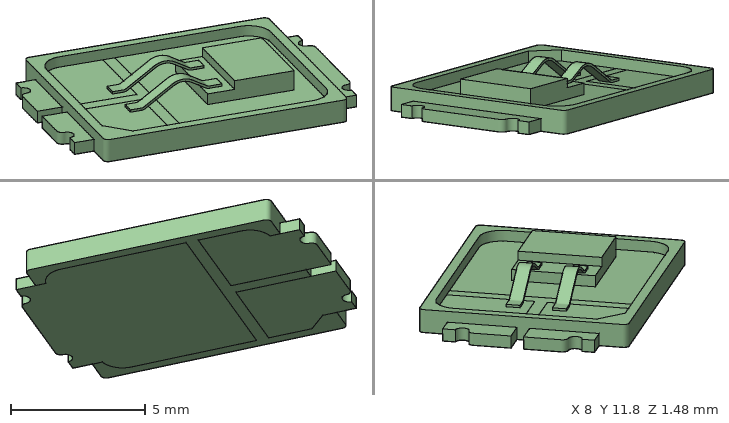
import cadquery as cq
import math

housing_width = 8.0
housing_length = 9.79
housing_height = 0.91
housing_corner_radius = 0.2

wall_thickness = 0.39
pocket_width = housing_width - 2 * wall_thickness
pocket_length = housing_length - 2 * wall_thickness
pocket_corner = 0.88

lead_thickness = 0.48
lead_gap = 0.48
die_pad_front_y = -1.4
terminal_back_y = die_pad_front_y - lead_gap

overall_length = 11.8
tab_half_width = 2.9
tab_tip_y = overall_length / 2
tab_corner_radius = 0.22
tab_shoulder_y = tab_tip_y - tab_corner_radius
notch_x = 2.16
notch_radius = 0.26
tab_root_y = pocket_length / 2 - pocket_corner

chip_width = 3.2
chip_back_y = 3.69
chip_step_y = 1.3
chip_front_y = 0.21
chip_top_z = 1.27
chip_step_z = 0.92

ribbon_x = 0.88
ribbon_width = 0.53
ribbon_thickness = 0.1
ribbon_chip_end_y = 0.97
ribbon_lead_end_y = -2.71
ribbon_top_z = 1.48
crest_y = -0.6
crest_radius = 0.79
chip_slope = math.radians(30)
lead_slope = math.radians(33)
bend_radius = 0.2


def pocket_prism(bottom_z, top_z):
    """Pocket outline: three round corners and one chamfered corner at +X, -Y."""
    prism = (
        cq.Workplane("XY")
        .workplane(offset=bottom_z)
        .rect(pocket_width, pocket_length)
        .extrude(top_z - bottom_z)
    )
    prism = prism.edges("|Z and (<X or >Y)").fillet(pocket_corner)
    chamfered_corner = cq.selectors.NearestToPointSelector(
        (pocket_width / 2, -pocket_length / 2, (bottom_z + top_z) / 2)
    )
    return prism.edges(chamfered_corner).chamfer(pocket_corner)


def half_tab(inner_x):
    """Tab on the +X, +Y side: a notch that flows into the rounded corner of the tip."""
    tip_x = notch_x - notch_radius
    arc_inset = tab_corner_radius * (1 - math.sqrt(0.5))
    return (
        cq.Workplane("XY")
        .moveTo(inner_x, tab_root_y)
        .lineTo(tab_half_width, tab_root_y)
        .lineTo(tab_half_width, tab_shoulder_y)
        .lineTo(notch_x + notch_radius, tab_shoulder_y)
        .threePointArc((notch_x, tab_shoulder_y - notch_radius), (tip_x, tab_shoulder_y))
        .threePointArc(
            (tip_x - arc_inset, tab_tip_y - arc_inset),
            (tip_x - tab_corner_radius, tab_tip_y),
        )
        .lineTo(inner_x, tab_tip_y)
        .close()
        .extrude(lead_thickness)
    )


def floor_area(min_x, max_x, min_y, max_y):
    """Part of the pocket floor between the given limits, as thick as the leads."""
    area = cq.Workplane("XY").box(
        max_x - min_x, max_y - min_y, lead_thickness, centered=False
    )
    return area.translate((min_x, min_y, 0)).intersect(pocket_prism(0, lead_thickness))


def make_die_pad_lead():
    pad = floor_area(-pocket_width / 2, pocket_width / 2, die_pad_front_y, pocket_length / 2)
    right_tab = half_tab(0)
    return pad.union(right_tab).union(right_tab.mirror("YZ")).clean()


def make_ribbon(center_x):
    """Flat strip bent up from the terminal, over a round crest and down to the chip step."""
    lead_foot_z = lead_thickness + ribbon_thickness
    chip_foot_z = chip_step_z + ribbon_thickness
    crest_center_z = ribbon_top_z - crest_radius

    def slope_offset(foot_z, slope):
        """Distance in Y from the crest centre to where a slope meets its foot."""
        return (crest_radius - (foot_z - crest_center_z) * math.cos(slope)) / math.sin(slope)

    def below(corner, slope_before, slope_after):
        """Mitred corner of the underside, one thickness below a corner of the upper side."""
        middle = (slope_before + slope_after) / 2
        miter = ribbon_thickness / math.cos((slope_after - slope_before) / 2)
        return (corner[0] + miter * math.sin(middle), corner[1] - miter * math.cos(middle))

    lead_bend = (crest_y - slope_offset(lead_foot_z, lead_slope), lead_foot_z)
    chip_bend = (crest_y + slope_offset(chip_foot_z, chip_slope), chip_foot_z)
    crest_tilt = (lead_slope - chip_slope) / 2
    crest_reach = crest_radius / math.cos((lead_slope + chip_slope) / 2)
    crest = (
        crest_y - crest_reach * math.sin(crest_tilt),
        crest_center_z + crest_reach * math.cos(crest_tilt),
    )
    lead_bend_below = below(lead_bend, 0, lead_slope)
    crest_below = below(crest, lead_slope, -chip_slope)
    chip_bend_below = below(chip_bend, -chip_slope, 0)

    left_x = center_x - ribbon_width / 2
    ribbon = (
        cq.Workplane("YZ")
        .workplane(offset=left_x)
        .polyline([
            (ribbon_lead_end_y, lead_foot_z),
            lead_bend,
            crest,
            chip_bend,
            (ribbon_chip_end_y, chip_foot_z),
            (ribbon_chip_end_y, chip_step_z),
            chip_bend_below,
            crest_below,
            lead_bend_below,
            (ribbon_lead_end_y, lead_thickness),
        ])
        .close()
        .extrude(ribbon_width)
    )
    bends = [
        (crest, crest_radius),
        (crest_below, crest_radius - ribbon_thickness),
        (lead_bend, bend_radius),
        (chip_bend, bend_radius),
        (lead_bend_below, bend_radius + ribbon_thickness),
        (chip_bend_below, bend_radius + ribbon_thickness),
    ]
    for (y, z), radius in bends:
        bend_edge = cq.selectors.NearestToPointSelector((center_x, y, z))
        ribbon = ribbon.edges("|X").edges(bend_edge).fillet(radius)
    return ribbon


def make_terminal(side):
    """Terminal lead with its contact ribbon; side is -1 for -X and +1 for +X."""
    inner_x = side * lead_gap / 2
    outer_x = side * pocket_width / 2
    pad = floor_area(
        min(inner_x, outer_x), max(inner_x, outer_x), -pocket_length / 2, terminal_back_y
    )
    tab = half_tab(lead_gap / 2).mirror("XZ")
    if side < 0:
        tab = tab.mirror("YZ")
    return pad.union(tab).clean().union(make_ribbon(side * ribbon_x))


def make_housing(leads):
    """Block with the open pocket, moulded round the leads."""
    block = cq.Workplane("XY").rect(housing_width, housing_length).extrude(housing_height)
    body = block.edges("|Z").fillet(housing_corner_radius)
    body = body.cut(pocket_prism(lead_thickness, housing_height))
    for lead in leads:
        body = body.cut(lead)
    return body


def make_chip():
    profile = [
        (chip_front_y, lead_thickness),
        (chip_back_y, lead_thickness),
        (chip_back_y, chip_top_z),
        (chip_step_y, chip_top_z),
        (chip_step_y, chip_step_z),
        (chip_front_y, chip_step_z),
    ]
    return cq.Workplane("YZ").polyline(profile).close().extrude(chip_width / 2, both=True)


die_pad_lead = make_die_pad_lead()
terminals = [make_terminal(side) for side in (-1, 1)]
housing = make_housing([die_pad_lead, *terminals])
chip = make_chip()

result = cq.Compound.makeCompound([
    housing.val(),
    die_pad_lead.val(),
    *[terminal.val() for terminal in terminals],
    chip.val(),
])